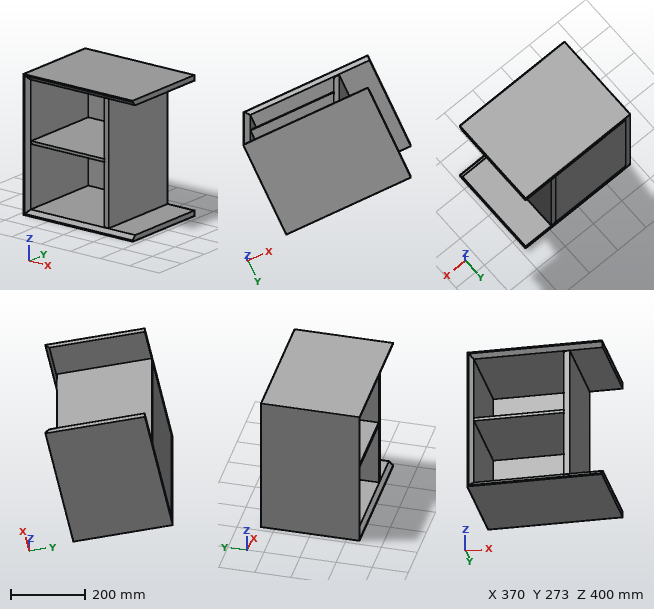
import cadquery as cq

width = 370.0
depth = 273.0
height = 400.0

panel_thickness = 16.0
front_lip = 4.0
bevel_depth = 11.0

compartment_width = 247.0
shelf_thickness = 9.0
shelf_bottom = 201.0
back_thickness = 8.0
inner_front = 13.0
inner_height = height - 2 * panel_thickness
divider_left = panel_thickness + compartment_width


def box_at(x, y, z, size_x, size_y, size_z):
    """Box whose lowest corner is at (x, y, z)."""
    return cq.Workplane("XY").box(size_x, size_y, size_z, centered=False).translate((x, y, z))


def make_shell():
    """C-shaped shell, open to the right, with its inner front edges bevelled."""
    outer = box_at(0, 0, 0, width, depth, height)
    opening = box_at(panel_thickness, 0, panel_thickness, width, depth, inner_height)
    flared_mouth = (
        cq.Workplane("XZ")
        .rect(2 * (width - front_lip), height - 2 * front_lip)
        .workplane(offset=-bevel_depth)
        .rect(2 * (width - panel_thickness), inner_height)
        .loft(ruled=True)
        .translate((width, 0, height / 2))
    )
    return outer.cut(opening).cut(flared_mouth)


def make_divider():
    """Upright panel that closes the compartment on the right."""
    return box_at(
        divider_left, inner_front, panel_thickness,
        panel_thickness, depth - inner_front, inner_height,
    )


def make_back():
    """Back panel between the left side and the divider, flush with the rear."""
    return box_at(
        panel_thickness, depth - back_thickness, panel_thickness,
        compartment_width, back_thickness, inner_height,
    )


def make_shelf():
    """Shelf across the compartment, reaching back to the back panel."""
    return box_at(
        panel_thickness, inner_front, shelf_bottom,
        compartment_width, depth - back_thickness - inner_front, shelf_thickness,
    )


shell = make_shell()
divider = make_divider()
back = make_back()
shelf = make_shelf()

result = cq.Compound.makeCompound([shell.val(), divider.val(), back.val(), shelf.val()])